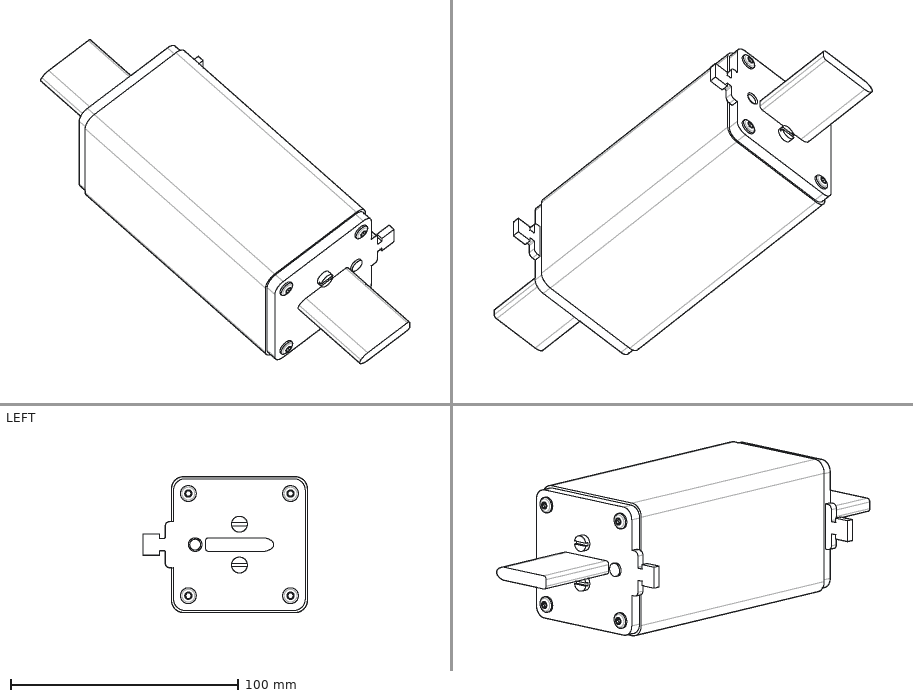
import cadquery as cq

housing_length = 117.0
housing_side = 60.0
housing_corner_radius = 5.5
cover_side = 58.0
cover_corner_radius = 5.0
cover_thickness = 5.0
cover_face_x = housing_length / 2 + cover_thickness

overall_length = 207.0
blade_thickness = 6.0
blade_back_y = 15.0
blade_back_radius = 1.5
knife_flat_end_y = -10.3
knife_nose_start_y = -14.4
knife_nose_half_height = 1.5

lug_thickness = 3.2
lug_root_overlap = 1.0
lug_root_y = cover_side / 2 - lug_root_overlap
lug_shoulder_y = 32.7
lug_shoulder_half_width = 10.2
lug_shoulder_radius = 2.0
lug_neck_root_radius = 0.5
lug_neck_end_y = 35.2
lug_neck_half_width = 2.75
lug_tip_y = 42.5
lug_head_half_width = 4.75

screw_offset = 22.5
screw_head_radius = 3.5
screw_rim_height = 0.8
screw_cone_radius = 2.8
screw_cone_base_height = 1.2
screw_top_radius = 1.6
screw_head_height = 1.8
socket_across_corners = 2.6
socket_depth = 1.2

pin_offset_z = 9.0
pin_radius = 3.5
pin_height = 2.5
pin_slot_width = 1.4
pin_slot_depth = 1.4

indicator_y = 19.5
indicator_radius = 3.0
indicator_hole_radius = 2.4
indicator_hole_depth = 3.0
indicator_button_height = 1.0


def rounded_square_bar(side, length, corner_radius):
    bar = cq.Workplane("YZ").rect(side, side).extrude(length / 2, both=True)
    return bar.edges("|X").fillet(corner_radius)


def make_blade():
    half_thickness = blade_thickness / 2
    back_arc_y = blade_back_y - blade_back_radius
    back_arc_z = half_thickness - blade_back_radius
    profile = (
        cq.Workplane("YZ")
        .moveTo(back_arc_y, half_thickness)
        .lineTo(knife_flat_end_y, half_thickness)
        .tangentArcPoint((knife_nose_start_y, knife_nose_half_height), relative=False)
        .tangentArcPoint((knife_nose_start_y, -knife_nose_half_height), relative=False)
        .tangentArcPoint((knife_flat_end_y, -half_thickness), relative=False)
        .lineTo(back_arc_y, -half_thickness)
        .tangentArcPoint((blade_back_y, -back_arc_z), relative=False)
        .lineTo(blade_back_y, back_arc_z)
        .tangentArcPoint((back_arc_y, half_thickness), relative=False)
        .close()
    )
    return profile.extrude(overall_length / 2, both=True)


def make_lug():
    """T-shaped lug on the -X cover."""
    upper_outline = [
        (lug_root_y, lug_shoulder_half_width),
        (lug_shoulder_y, lug_shoulder_half_width),
        (lug_shoulder_y, lug_neck_half_width),
        (lug_neck_end_y, lug_neck_half_width),
        (lug_neck_end_y, lug_head_half_width),
        (lug_tip_y, lug_head_half_width),
    ]
    lower_outline = [(y, -z) for y, z in reversed(upper_outline)]
    lug = (
        cq.Workplane("YZ", origin=(-cover_face_x, 0, 0))
        .polyline(upper_outline + lower_outline)
        .close()
        .extrude(lug_thickness)
    )
    corner_radii = [
        (lug_shoulder_y, lug_shoulder_half_width, lug_shoulder_radius),
        (lug_shoulder_y, lug_neck_half_width, lug_neck_root_radius),
    ]
    for y, half_width, radius in corner_radii:
        for z in (-half_width, half_width):
            corner = cq.selectors.NearestToPointSelector((-cover_face_x + lug_thickness / 2, y, z))
            lug = lug.edges("|X").edges(corner).fillet(radius)
    return lug


def make_screw_head():
    """Screw head at the origin, pointing toward -X."""
    head = (
        cq.Workplane("XY")
        .polyline([
            (0, 0),
            (0, screw_head_radius),
            (-screw_rim_height, screw_head_radius),
            (-screw_cone_base_height, screw_cone_radius),
            (-screw_head_height, screw_top_radius),
            (-screw_head_height, 0),
        ])
        .close()
        .revolve(360, (0, 0, 0), (1, 0, 0))
    )
    socket = (
        cq.Workplane("YZ", origin=(-screw_head_height, 0, 0))
        .polygon(6, socket_across_corners)
        .extrude(socket_depth)
    )
    return head.cut(socket)


def make_slotted_pin():
    """Pin at the origin, pointing toward -X, with its slot along Y."""
    pin = cq.Workplane("YZ").circle(pin_radius).extrude(-pin_height)
    slot = (
        cq.Workplane("YZ", origin=(-pin_height, 0, 0))
        .rect(2 * pin_radius, pin_slot_width)
        .extrude(pin_slot_depth)
    )
    return pin.cut(slot)


def make_end_fittings():
    """Lug, screw heads and slotted pins on the -X cover, as a list."""
    fittings = [make_lug()]
    screw_head = make_screw_head()
    for y in (-screw_offset, screw_offset):
        for z in (-screw_offset, screw_offset):
            fittings.append(screw_head.translate((-cover_face_x, y, z)))
    slotted_pin = make_slotted_pin()
    for z in (-pin_offset_z, pin_offset_z):
        fittings.append(slotted_pin.translate((-cover_face_x, 0, z)))
    return fittings


def make_indicator_hole():
    hole = (
        cq.Workplane("YZ", origin=(-cover_face_x, indicator_y, 0))
        .circle(indicator_hole_radius)
        .extrude(indicator_hole_depth)
    )
    countersink_depth = indicator_radius - indicator_hole_radius
    countersink = cq.Solid.makeCone(
        indicator_radius,
        indicator_hole_radius,
        countersink_depth,
        cq.Vector(-cover_face_x, indicator_y, 0),
        cq.Vector(1, 0, 0),
    )
    return hole.union(cq.Workplane(countersink))


def make_indicator_button():
    return (
        cq.Workplane("YZ", origin=(cover_face_x, indicator_y, 0))
        .circle(indicator_radius)
        .extrude(indicator_button_height)
    )


result = rounded_square_bar(housing_side, housing_length, housing_corner_radius)
result = result.union(rounded_square_bar(cover_side, 2 * cover_face_x, cover_corner_radius))
result = result.union(make_blade())
for fitting in make_end_fittings():
    result = result.union(fitting)
    result = result.union(fitting.mirror("YZ"))
result = result.cut(make_indicator_hole())
result = result.union(make_indicator_button())